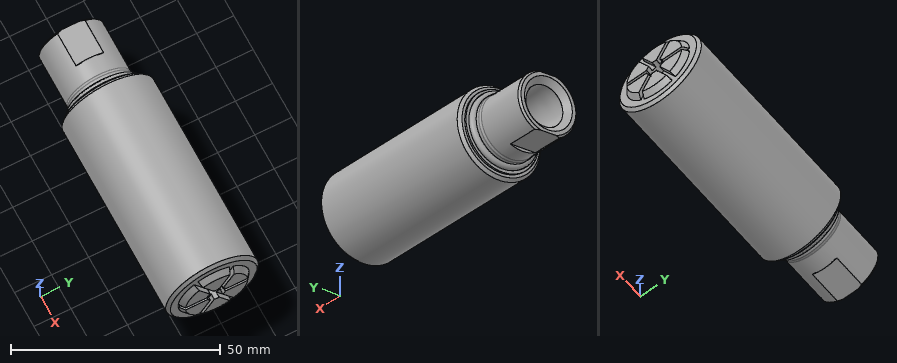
import cadquery as cq
import math

TOTAL_LENGTH = 75.45

BARREL_RADIUS = 12.5
BARREL_START = 18.7
BARREL_END = 73.9
BARREL_CHAMFER = 0.8

FLANGE_DIAMETER = 21.8
FLANGE_RADIUS = FLANGE_DIAMETER / 2
FLANGE_THICKNESS = 0.5
FLANGE_START = BARREL_START - FLANGE_THICKNESS

SPIGOT_RADIUS = 8.75
SPIGOT_CHAMFER = 0.5
COLLAR_RADIUS = 9.0
COLLAR_CONE_START = 14.9
COLLAR_CONE_LENGTH = 0.75
COLLAR_START = COLLAR_CONE_START + COLLAR_CONE_LENGTH

BEAD_OUTER_RADIUS = 10.2
BEAD_SECTION_RADIUS = 1.0
BEAD_CENTRE_X = 17.65
BEAD_CENTRE_RADIUS = BEAD_OUTER_RADIUS - BEAD_SECTION_RADIUS

FLAT_DISTANCE = 7.9
FLAT_LENGTH = 10.0

NOSE_BASE_RADIUS = 9.6
NOSE_TIP_RADIUS = 8.4
SLOT_WIDTH = 1.2
SLOT_COUNT = 3

MOUTH_DIAMETER = 14.3
SOCKET_MOUTH_DIAMETER = 11.1
SOCKET_FLOOR_DIAMETER = 10.7
SOCKET_DEPTH = 15.1
THROUGH_DIAMETER = 4.8
FLOOR_CONE_ANGLE = 118.0

MOUTH_RADIUS = MOUTH_DIAMETER / 2
SOCKET_MOUTH_RADIUS = SOCKET_MOUTH_DIAMETER / 2
SOCKET_FLOOR_RADIUS = SOCKET_FLOOR_DIAMETER / 2
THROUGH_RADIUS = THROUGH_DIAMETER / 2
MOUTH_DEPTH = MOUTH_RADIUS - SOCKET_MOUTH_RADIUS
FLOOR_CONE_LENGTH = (SOCKET_FLOOR_RADIUS - THROUGH_RADIUS) / math.tan(math.radians(FLOOR_CONE_ANGLE / 2))


def revolve_profile(profile):
    """Turn a closed outline, drawn as (x, radius), about the X axis."""
    return profile.close().revolve(360, (0, 0, 0), (1, 0, 0))


def make_body():
    """Outside shape: spigot, collar, bead, flange, barrel and nose."""
    bead_start_x = BEAD_CENTRE_X - math.sqrt(
        BEAD_SECTION_RADIUS**2 - (COLLAR_RADIUS - BEAD_CENTRE_RADIUS) ** 2
    )
    bead_end_radius = BEAD_CENTRE_RADIUS + math.sqrt(
        BEAD_SECTION_RADIUS**2 - (FLANGE_START - BEAD_CENTRE_X) ** 2
    )
    profile = (
        cq.Workplane("XY")
        .moveTo(0, 0)
        .lineTo(0, SPIGOT_RADIUS - SPIGOT_CHAMFER)
        .lineTo(SPIGOT_CHAMFER, SPIGOT_RADIUS)
        .lineTo(COLLAR_CONE_START, SPIGOT_RADIUS)
        .lineTo(COLLAR_START, COLLAR_RADIUS)
        .lineTo(bead_start_x, COLLAR_RADIUS)
        .threePointArc((BEAD_CENTRE_X, BEAD_OUTER_RADIUS), (FLANGE_START, bead_end_radius))
        .lineTo(FLANGE_START, FLANGE_RADIUS)
        .lineTo(BARREL_START, FLANGE_RADIUS)
        .lineTo(BARREL_START, BARREL_RADIUS - BARREL_CHAMFER)
        .lineTo(BARREL_START + BARREL_CHAMFER, BARREL_RADIUS)
        .lineTo(BARREL_END - BARREL_CHAMFER, BARREL_RADIUS)
        .lineTo(BARREL_END, BARREL_RADIUS - BARREL_CHAMFER)
        .lineTo(BARREL_END, NOSE_BASE_RADIUS)
        .lineTo(TOTAL_LENGTH, NOSE_TIP_RADIUS)
        .lineTo(TOTAL_LENGTH, 0)
    )
    return revolve_profile(profile)


def make_bore():
    """Cutter: countersunk mouth, tapered socket with a cone floor, and a through hole."""
    profile = (
        cq.Workplane("XY")
        .moveTo(0, 0)
        .lineTo(0, MOUTH_RADIUS)
        .lineTo(MOUTH_DEPTH, SOCKET_MOUTH_RADIUS)
        .lineTo(SOCKET_DEPTH, SOCKET_FLOOR_RADIUS)
        .lineTo(SOCKET_DEPTH + FLOOR_CONE_LENGTH, THROUGH_RADIUS)
        .lineTo(TOTAL_LENGTH, THROUGH_RADIUS)
        .lineTo(TOTAL_LENGTH, 0)
    )
    return revolve_profile(profile)


def cut_wrench_flats(body):
    """Cut a flat on the +Z and -Z sides of the spigot."""
    block_height = SPIGOT_RADIUS
    for side in (1, -1):
        block = cq.Workplane("XY").box(FLAT_LENGTH, 2 * SPIGOT_RADIUS, block_height)
        centre_z = side * (FLAT_DISTANCE + block_height / 2)
        body = body.cut(block.translate((FLAT_LENGTH / 2, 0, centre_z)))
    return body


def cut_nose_slots(body):
    """Cut evenly turned slots right across the nose, down to the barrel end."""
    nose_length = TOTAL_LENGTH - BARREL_END
    centre_x = (BARREL_END + TOTAL_LENGTH) / 2
    slot = cq.Workplane("XY").box(nose_length, 2 * BARREL_RADIUS, SLOT_WIDTH).translate((centre_x, 0, 0))
    for index in range(SLOT_COUNT):
        angle = index * 180 / SLOT_COUNT
        body = body.cut(slot.rotate((0, 0, 0), (1, 0, 0), angle))
    return body


result = make_body().cut(make_bore())
result = cut_wrench_flats(result)
result = cut_nose_slots(result)